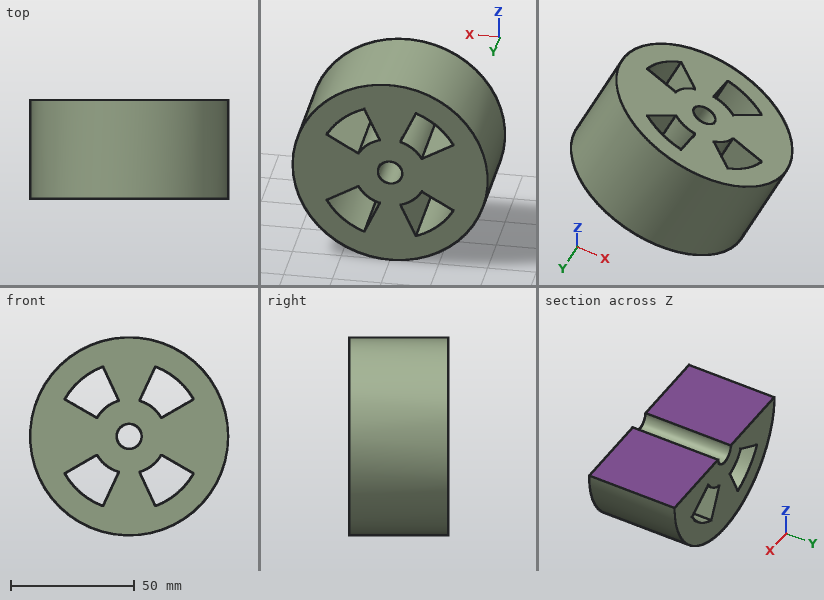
import cadquery as cq
import math

wheel_diameter = 80.0
wheel_width = 40.0
bore_diameter = 10.0

hub_radius = 15.0
rim_inner_radius = 30.0
side_spoke_angle = 30.0
upright_spoke_angle = 65.0
upright_edge_shift = 2.5


def point_at(radius, angle):
    """Point at a polar position about the wheel axis, angle in degrees."""
    return (radius * math.cos(math.radians(angle)), radius * math.sin(math.radians(angle)))


def upper_edge_angle(radius):
    """Polar angle where the upper window edge meets a circle of the given radius."""
    distance_from_axis = upright_edge_shift * math.sin(math.radians(upright_spoke_angle))
    return upright_spoke_angle + math.degrees(math.asin(distance_from_axis / radius))


def make_window():
    """Cutter for the window in the +X +Z quadrant, running through the full width."""
    inner_end = upper_edge_angle(hub_radius)
    outer_end = upper_edge_angle(rim_inner_radius)
    inner_middle = (side_spoke_angle + inner_end) / 2
    outer_middle = (side_spoke_angle + outer_end) / 2
    return (
        cq.Workplane("XZ", origin=(0, wheel_width / 2, 0))
        .moveTo(*point_at(hub_radius, side_spoke_angle))
        .lineTo(*point_at(rim_inner_radius, side_spoke_angle))
        .threePointArc(point_at(rim_inner_radius, outer_middle), point_at(rim_inner_radius, outer_end))
        .lineTo(*point_at(hub_radius, inner_end))
        .threePointArc(point_at(hub_radius, inner_middle), point_at(hub_radius, side_spoke_angle))
        .close()
        .extrude(wheel_width)
    )


def make_disc():
    """Solid cylinder with the central bore, centred on the origin."""
    return (
        cq.Workplane("XZ", origin=(0, wheel_width / 2, 0))
        .circle(wheel_diameter / 2)
        .circle(bore_diameter / 2)
        .extrude(wheel_width)
    )


right_window = make_window()
upper_windows = right_window.union(right_window.mirror("YZ"))

result = make_disc()
for windows in (upper_windows, upper_windows.mirror("XY")):
    result = result.cut(windows)